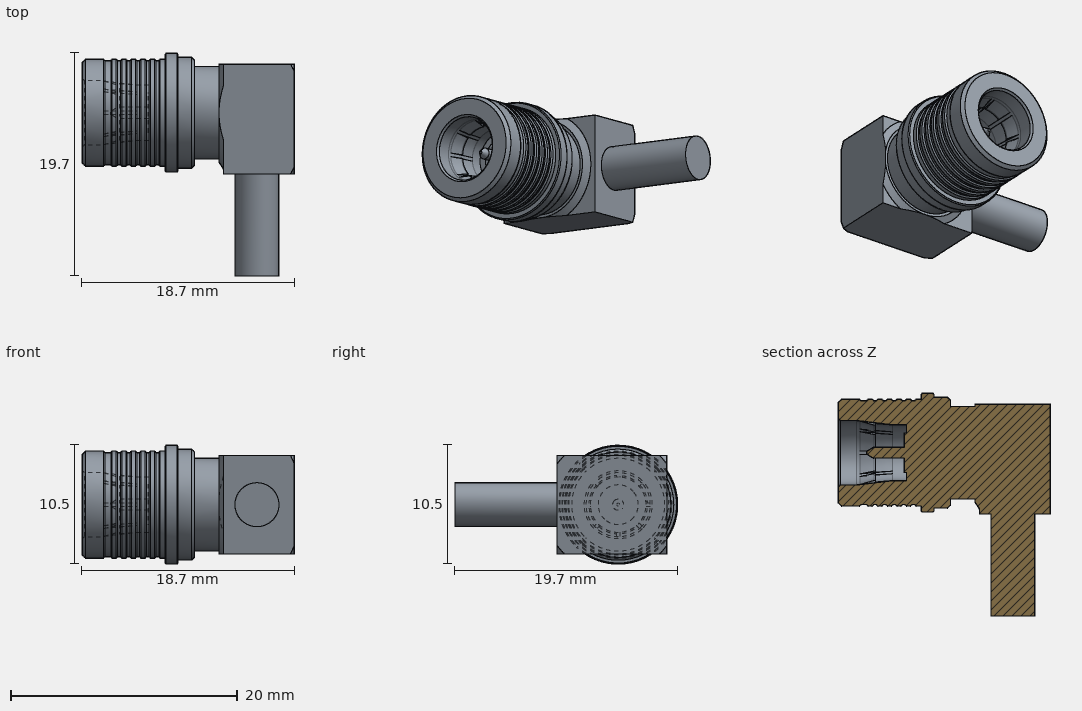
import cadquery as cq
import math


SLEEVE_LENGTH = 9.9
SLEEVE_RADIUS = 4.74
GRIP_ROOT_RADIUS = 4.6
NOSE_LENGTH = 2.0
NOSE_CHAMFER = 0.3

RIB_COUNT = 5
RIB_PITCH = 0.845
RIB_WIDTH = 0.6
RIB_FLANK = 0.125
FIRST_RIB_START = 2.52

COLLAR_START = 7.3
COLLAR_END = 8.45
COLLAR_RADIUS = 5.25
COLLAR_CHAMFER = 0.1
REAR_RING_RADIUS = 4.9
REAR_RING_CHAMFER = 0.25

NECK_RADIUS = 4.1
TOTAL_LENGTH = 18.7
SHOULDER_START = 12.05
SHOULDER_LENGTH = 0.4
SHOULDER_SMALL_RADIUS = 4.35
SHOULDER_LARGE_RADIUS = 4.97
BLOCK_HALF_HEIGHT = 4.35
BLOCK_Y_MAX = 4.3
BLOCK_Y_MIN = -5.4
BACK_FACE_RADIUS = 6.03
BACK_CONE_ANGLE = 35.0
TRIM_MARGIN = 1.0

STUB_X = 15.4
STUB_RADIUS = 1.94
OVERALL_Y = 19.65
STUB_END_Y = COLLAR_RADIUS - OVERALL_Y

MOUTH_RADIUS = 3.0
MOUTH_CHAMFER = 0.2
BORE_RADIUS = 2.83
BORE_DEPTH = 1.63
THROAT_RADIUS = 2.45
TAPER_END = 4.8
SOCKET_DEPTH = 6.0

FINGER_COUNT = 8
FINGER_GAP = 0.32
FINGER_START = 1.93
FINGER_CREST = 3.15
FINGER_CREST_LENGTH = 0.12
FINGER_REAR_RADIUS = 2.58
FINGER_ROOT_RADIUS = 3.2

DIELECTRIC_RADIUS = 1.76
DIELECTRIC_HEIGHT = 0.2

PIN_RADIUS = 0.49
PIN_TIP_RADIUS = 0.13
PIN_TIP_X = 2.5
PIN_TAPER_LENGTH = 0.6


def revolve_about_x(points):
    """Revolve a closed (x, radius) outline around the connector axis."""
    return cq.Workplane("XY").polyline(points).close().revolve(360, (0, 0, 0), (1, 0, 0))


def make_sleeve():
    """Turned coupling sleeve: nose, grip ribs, collar and rear ring."""
    nose_step = SLEEVE_RADIUS - GRIP_ROOT_RADIUS
    outline = [
        (0, 0),
        (0, SLEEVE_RADIUS - NOSE_CHAMFER),
        (NOSE_CHAMFER, SLEEVE_RADIUS),
        (NOSE_LENGTH - nose_step, SLEEVE_RADIUS),
        (NOSE_LENGTH, GRIP_ROOT_RADIUS),
    ]
    for i in range(RIB_COUNT):
        start = FIRST_RIB_START + i * RIB_PITCH
        end = start + RIB_WIDTH
        outline += [
            (start, GRIP_ROOT_RADIUS),
            (start + RIB_FLANK, SLEEVE_RADIUS),
            (end - RIB_FLANK, SLEEVE_RADIUS),
            (end, GRIP_ROOT_RADIUS),
        ]
    last_rib_start = FIRST_RIB_START + RIB_COUNT * RIB_PITCH
    outline += [
        (last_rib_start, GRIP_ROOT_RADIUS),
        (last_rib_start + RIB_FLANK, SLEEVE_RADIUS),
        (COLLAR_START, SLEEVE_RADIUS),
        (COLLAR_START, COLLAR_RADIUS - COLLAR_CHAMFER),
        (COLLAR_START + COLLAR_CHAMFER, COLLAR_RADIUS),
        (COLLAR_END - COLLAR_CHAMFER, COLLAR_RADIUS),
        (COLLAR_END, COLLAR_RADIUS - COLLAR_CHAMFER),
        (COLLAR_END, REAR_RING_RADIUS),
        (SLEEVE_LENGTH - REAR_RING_CHAMFER, REAR_RING_RADIUS),
        (SLEEVE_LENGTH, REAR_RING_RADIUS - REAR_RING_CHAMFER),
        (SLEEVE_LENGTH, 0),
    ]
    return revolve_about_x(outline)


def make_neck():
    """Plain cylinder between the sleeve and the block."""
    outline = [
        (SLEEVE_LENGTH, 0),
        (SLEEVE_LENGTH, NECK_RADIUS),
        (SHOULDER_START, NECK_RADIUS),
        (SHOULDER_START, 0),
    ]
    return revolve_about_x(outline)


def make_block():
    """Right-angle block with a conical front shoulder and cone-trimmed back corners."""
    size_y = BLOCK_Y_MAX - BLOCK_Y_MIN
    centre_y = (BLOCK_Y_MAX + BLOCK_Y_MIN) / 2
    length = TOTAL_LENGTH - SHOULDER_START
    block = cq.Workplane("XY").box(length, size_y, 2 * BLOCK_HALF_HEIGHT)
    block = block.translate((SHOULDER_START + length / 2, centre_y, 0))

    trim_radius = math.hypot(size_y / 2, BLOCK_HALF_HEIGHT) + TRIM_MARGIN
    face_x = SHOULDER_START + SHOULDER_LENGTH
    front_limit = revolve_about_x([
        (SHOULDER_START, 0),
        (SHOULDER_START, SHOULDER_SMALL_RADIUS),
        (face_x, SHOULDER_LARGE_RADIUS),
        (face_x, trim_radius),
        (TOTAL_LENGTH, trim_radius),
        (TOTAL_LENGTH, 0),
    ])
    cone_length = (trim_radius - BACK_FACE_RADIUS) * math.tan(math.radians(BACK_CONE_ANGLE))
    back_limit = revolve_about_x([
        (SHOULDER_START, 0),
        (SHOULDER_START, trim_radius),
        (TOTAL_LENGTH - cone_length, trim_radius),
        (TOTAL_LENGTH, BACK_FACE_RADIUS),
        (TOTAL_LENGTH, 0),
    ]).translate((0, centre_y, 0))
    return block.intersect(front_limit).intersect(back_limit)


def make_stub():
    """Cable stub leaving the block towards -Y."""
    return cq.Workplane("XZ").center(STUB_X, 0).circle(STUB_RADIUS).extrude(-STUB_END_Y)


def taper_radius(x):
    """Radius of the tapered socket wall at axial position x."""
    slope = (THROAT_RADIUS - BORE_RADIUS) / (TAPER_END - BORE_DEPTH)
    return BORE_RADIUS + slope * (x - BORE_DEPTH)


def make_socket():
    """Void of the mating socket: chamfered mouth, bore, taper and throat."""
    return revolve_about_x([
        (0, 0),
        (0, MOUTH_RADIUS),
        (MOUTH_CHAMFER, BORE_RADIUS),
        (BORE_DEPTH, BORE_RADIUS),
        (TAPER_END, THROAT_RADIUS),
        (SOCKET_DEPTH, THROAT_RADIUS),
        (SOCKET_DEPTH, 0),
    ])


def make_fingers():
    """Ring of raised contact fingers, divided by equally spaced gaps."""
    crest_end = FINGER_CREST + FINGER_CREST_LENGTH
    ring = revolve_about_x([
        (FINGER_START, taper_radius(FINGER_START)),
        (FINGER_CREST, THROAT_RADIUS),
        (crest_end, THROAT_RADIUS),
        (crest_end, FINGER_REAR_RADIUS),
        (TAPER_END, THROAT_RADIUS),
        (TAPER_END, FINGER_ROOT_RADIUS),
        (FINGER_START, FINGER_ROOT_RADIUS),
    ])
    for i in range(FINGER_COUNT // 2):
        gap = cq.Workplane("XY").box(2 * SOCKET_DEPTH, 2 * SLEEVE_RADIUS, FINGER_GAP)
        ring = ring.cut(gap.rotate((0, 0, 0), (1, 0, 0), i * 360 / FINGER_COUNT))
    return ring


def make_dielectric():
    """Raised dielectric disc on the socket floor."""
    face_x = SOCKET_DEPTH - DIELECTRIC_HEIGHT
    return cq.Workplane("YZ", origin=(face_x, 0, 0)).circle(DIELECTRIC_RADIUS).extrude(DIELECTRIC_HEIGHT)


def make_pin():
    """Centre pin with a tapered tip."""
    return revolve_about_x([
        (PIN_TIP_X, 0),
        (PIN_TIP_X, PIN_TIP_RADIUS),
        (PIN_TIP_X + PIN_TAPER_LENGTH, PIN_RADIUS),
        (SOCKET_DEPTH, PIN_RADIUS),
        (SOCKET_DEPTH, 0),
    ])


body = make_sleeve().union(make_neck()).union(make_block()).union(make_stub())
result = body.cut(make_socket()).union(make_fingers()).union(make_dielectric()).union(make_pin())